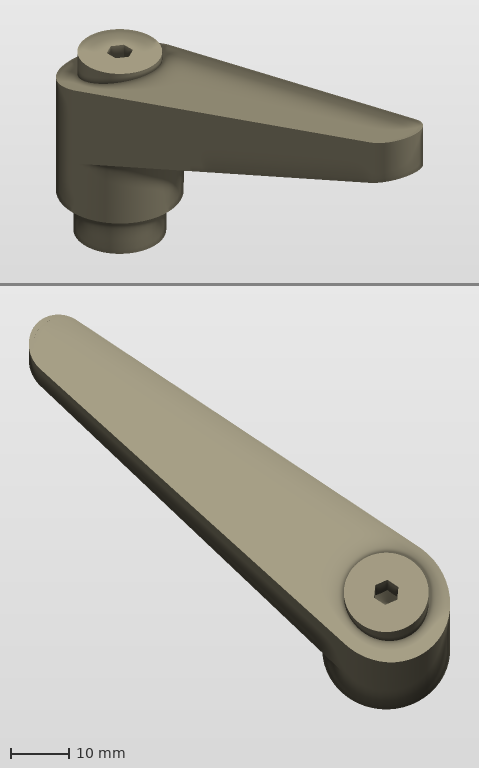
import cadquery as cq
import math

collar_diameter = 16.0
collar_height = 8.0
hub_diameter = 22.0
hub_radius = hub_diameter / 2

arm_reach = 74.0
tip_radius = 5.5
tip_center_x = arm_reach - tip_radius
top_angle = 15.0
underside_angle = 20.0
top_slope = math.tan(math.radians(top_angle))
underside_slope = math.tan(math.radians(underside_angle))
tip_top_z = 52.65
axis_top_z = tip_top_z - arm_reach * top_slope
axis_underside_z = 18.0

lip_width = 0.8
lip_start_x = 72.0
lip_rise = 0.05

screw_head_diameter = 14.6
screw_top_z = 36.0
hex_across_flats = 4.0
hex_across_corners = hex_across_flats / math.cos(math.pi / 6)
hex_depth = 5.0
drill_point_angle = 118.0
drill_point_depth = hex_across_corners / 2 / math.tan(math.radians(drill_point_angle / 2))


def below_top_plane():
    """Wedge of space under the sloping top face of the hub and arm."""
    return (
        cq.Workplane("XZ")
        .moveTo(-hub_radius, 0)
        .lineTo(arm_reach, 0)
        .lineTo(arm_reach, tip_top_z)
        .lineTo(-hub_radius, axis_top_z - hub_radius * top_slope)
        .close()
        .extrude(hub_radius, both=True)
    )


def above_underside_plane():
    """Slab of space over the sloping underside of the arm."""
    return (
        cq.Workplane("XZ")
        .moveTo(0, axis_underside_z)
        .lineTo(arm_reach, axis_underside_z + arm_reach * underside_slope)
        .lineTo(arm_reach, tip_top_z)
        .lineTo(0, tip_top_z)
        .close()
        .extrude(hub_radius, both=True)
    )


def make_arm():
    """Arm whose straight sides are tangent to both the hub and the tip."""
    taper_sine = (hub_radius - tip_radius) / tip_center_x
    taper_cosine = math.sqrt(1 - taper_sine**2)
    hub_tangent_x = hub_radius * taper_sine
    hub_tangent_y = hub_radius * taper_cosine
    tip_tangent_x = tip_center_x + tip_radius * taper_sine
    tip_tangent_y = tip_radius * taper_cosine
    plan = (
        cq.Workplane("XY")
        .moveTo(hub_tangent_x, -hub_tangent_y)
        .lineTo(tip_tangent_x, -tip_tangent_y)
        .threePointArc((arm_reach, 0), (tip_tangent_x, tip_tangent_y))
        .lineTo(hub_tangent_x, hub_tangent_y)
        .close()
        .extrude(tip_top_z)
    )
    return plan.intersect(above_underside_plane())


def make_tip_lip():
    """Crescent along the tip edge, thickening from nothing to its full rise."""
    rise_profile = (
        cq.Workplane("XZ")
        .moveTo(lip_start_x, axis_top_z + lip_start_x * top_slope)
        .lineTo(arm_reach, tip_top_z)
        .lineTo(arm_reach, tip_top_z + lip_rise)
        .close()
        .extrude(tip_radius, both=True)
    )
    rim = (
        cq.Workplane("XY")
        .center(tip_center_x, 0)
        .circle(tip_radius)
        .circle(tip_radius - lip_width)
        .extrude(tip_top_z + lip_rise)
    )
    return rise_profile.intersect(rim)


def make_hub():
    return (
        cq.Workplane("XY")
        .workplane(offset=collar_height)
        .circle(hub_radius)
        .extrude(tip_top_z - collar_height)
    )


def make_collar():
    return cq.Workplane("XY").circle(collar_diameter / 2).extrude(collar_height)


def make_screw_head():
    return (
        cq.Workplane("XY")
        .workplane(offset=collar_height)
        .circle(screw_head_diameter / 2)
        .extrude(screw_top_z - collar_height)
    )


def make_hex_socket():
    """Hexagonal key socket ending in a conical drill point."""
    socket_floor_z = screw_top_z - hex_depth
    hexagon = (
        cq.Workplane("XY")
        .workplane(offset=socket_floor_z - drill_point_depth)
        .polygon(6, hex_across_corners)
        .extrude(hex_depth + drill_point_depth)
    )
    drilled_space = (
        cq.Workplane("XZ")
        .moveTo(0, socket_floor_z - drill_point_depth)
        .lineTo(hex_across_corners / 2, socket_floor_z)
        .lineTo(hex_across_corners, socket_floor_z)
        .lineTo(hex_across_corners, screw_top_z)
        .lineTo(0, screw_top_z)
        .close()
        .revolve(360, (0, 0, 0), (0, 1, 0))
    )
    return hexagon.intersect(drilled_space)


lever = make_hub().union(make_arm()).intersect(below_top_plane())
body = lever.union(make_tip_lip()).union(make_collar()).union(make_screw_head())
result = body.cut(make_hex_socket())